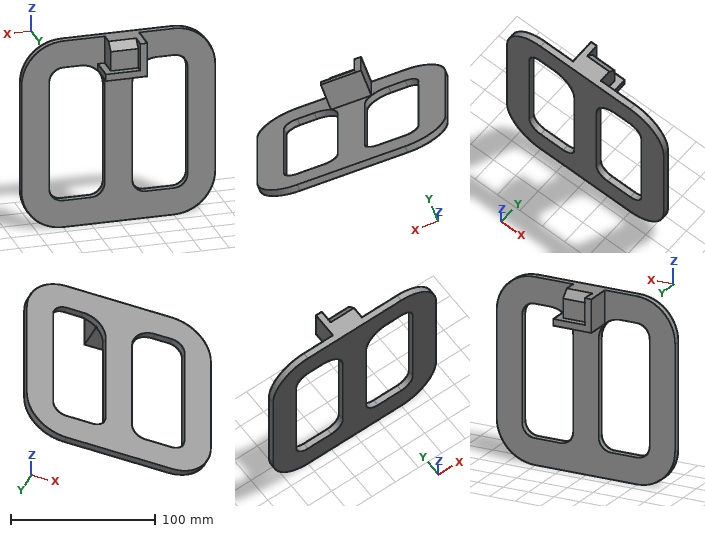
import cadquery as cq

plate_size = 140.0
plate_thickness = 5.0
plate_corner_radius = 30.0

slot_margin = 20.0
web_half_width = slot_margin / 2
slot_radius = 10.0
slot_large_radius = 17.5

catch_width = 30.0
catch_height = 25.0
total_depth = 25.0
catch_wall = 5.0
chamfer_size = 5.6
block_back_y = total_depth - catch_wall

half_size = plate_size / 2
catch_left = -catch_width / 2
catch_right = catch_width / 2
catch_bottom = half_size - catch_height
floor_z = catch_bottom + catch_wall


def box(x_range, y_range, z_range):
    """Box spanning the given (low, high) limits."""
    lows, highs = zip(x_range, y_range, z_range)
    sizes = [high - low for low, high in zip(lows, highs)]
    return cq.Workplane("XY").box(*sizes, centered=False).translate(lows)


def make_plate():
    """Rounded square plate."""
    plate_y = (0, plate_thickness)
    span = (-half_size, half_size)
    return box(span, plate_y, span).edges("|Y").fillet(plate_corner_radius)


def make_slot():
    """Right-hand slot, with a larger radius at its upper inner corner."""
    outer = half_size - slot_margin
    slot = box((web_half_width, outer), (0, plate_thickness), (-outer, outer))
    slot = slot.edges("|Y and (>X or <Z)").fillet(slot_radius)
    upper_inner_corner = cq.selectors.NearestToPointSelector((web_half_width, plate_thickness / 2, outer))
    return slot.edges("|Y").edges(upper_inner_corner).fillet(slot_large_radius)


def make_catch():
    """Floor, full-height side wall and a block with its top back edge chamfered at 45 degrees."""
    catch_y = (plate_thickness, total_depth)
    floor = box((catch_left, catch_right), catch_y, (catch_bottom, floor_z))
    wall = box((catch_left, catch_left + catch_wall), catch_y, (catch_bottom, half_size))
    block_profile = [
        (plate_thickness, catch_bottom),
        (block_back_y, catch_bottom),
        (block_back_y, half_size - chamfer_size),
        (block_back_y - chamfer_size, half_size),
        (plate_thickness, half_size),
    ]
    chamfered_block = (
        cq.Workplane("YZ", origin=(catch_left, 0, 0))
        .polyline(block_profile)
        .close()
        .extrude(catch_width - catch_wall)
    )
    return floor.union(wall).union(chamfered_block)


slot = make_slot()
plate = make_plate().cut(slot).cut(slot.mirror("YZ"))
result = plate.union(make_catch())